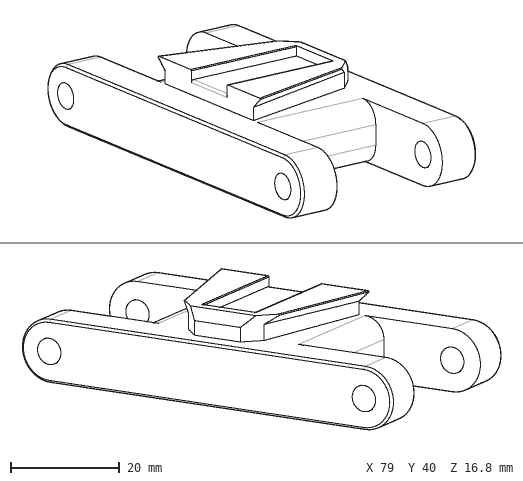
import cadquery as cq


length = 79.0
width = 40.0
arm_height = 12.0

arm_thickness = 8.0
arm_chamfer = 0.5
pivot_diameter = 5.0

hub_length = 37.9
hub_radius = 4.0

wedge_height = 4.8
wedge_reach = 16.0
nose_half = 4.9
nose_chamfer = 2.05
flange_front_half = 15.8
flange_shoulder = 10.75
neck_front_half = 13.7
neck_shoulder = 12.9
rim_chamfer = 0.2

pocket_width = 11.0
pocket_depth = 2.0
pocket_lip_radius = 0.5

arm_inner = width / 2 - arm_thickness
pivot_spacing = length - arm_height
arm_top = arm_height / 2
wedge_top = arm_top + wedge_height
wedge_front = -arm_inner


def make_arm(side):
    """Arm with rounded ends; side is +1 for the +Y arm and -1 for the -Y arm."""
    arm = (
        cq.Workplane("XZ", origin=(0, side * width / 2, 0))
        .slot2D(length, arm_height)
        .extrude(side * arm_thickness)
    )
    outer_face = ">Y" if side > 0 else "<Y"
    arm = arm.faces(outer_face).chamfer(arm_chamfer)
    pivots = (
        cq.Workplane("XZ", origin=(0, side * width / 2, 0))
        .pushPoints([(-pivot_spacing / 2, 0), (pivot_spacing / 2, 0)])
        .circle(pivot_diameter / 2)
        .extrude(side * arm_thickness)
    )
    return arm.cut(pivots)


def make_hub():
    """Block between the arms, rounded along its four long edges."""
    hub = cq.Workplane("XY").box(hub_length, 2 * arm_inner, arm_height)
    return hub.edges("|Y").fillet(hub_radius)


def shoulder_half(shoulder_y):
    """Half width of the wedge on its 45 degree corner cut at the given y."""
    return nose_half + wedge_reach - shoulder_y


def wedge_prism(front_half, shoulder_y):
    """Tapering six-sided prism, symmetric about X = 0, from mid-height up to the wedge top."""
    right_side = [
        (front_half, wedge_front),
        (shoulder_half(shoulder_y), shoulder_y),
        (nose_half, wedge_reach),
    ]
    left_side = [(-x, y) for x, y in reversed(right_side)]
    return cq.Workplane("XY").polyline(right_side + left_side).close().extrude(wedge_top)


def make_flange_side_cut():
    """Cutter for the +X side: a 45 degree undercut below the flange edge and a chamfer above it."""
    edge_run = flange_shoulder - wedge_front
    edge_inset = flange_front_half - shoulder_half(flange_shoulder)
    edge_plane = cq.Plane(
        origin=(flange_front_half, wedge_front, wedge_top - rim_chamfer),
        xDir=(edge_run, edge_inset, 0),
        normal=(edge_inset, -edge_run, 0),
    )
    return (
        cq.Workplane(edge_plane)
        .moveTo(0, 0)
        .lineTo(-rim_chamfer, rim_chamfer)
        .lineTo(wedge_top, rim_chamfer)
        .lineTo(wedge_top, -wedge_top)
        .lineTo(-wedge_top, -wedge_top)
        .close()
        .extrude(length / 2, both=True)
    )


def make_nose_cut():
    """Chamfer across the top of the narrow end."""
    return (
        cq.Workplane("YZ")
        .moveTo(wedge_reach, wedge_top)
        .lineTo(wedge_reach - nose_chamfer, wedge_top)
        .lineTo(wedge_reach, wedge_top - nose_chamfer)
        .close()
        .extrude(length / 2, both=True)
    )


def make_pocket():
    """Flat-floored pocket with a rounded front lip and chamfered side rims."""
    floor = wedge_top - pocket_depth
    recess = (
        cq.Workplane("YZ")
        .moveTo(wedge_front, wedge_top)
        .lineTo(wedge_front, floor - pocket_lip_radius)
        .radiusArc((wedge_front + pocket_lip_radius, floor), pocket_lip_radius)
        .lineTo(arm_inner, floor)
        .lineTo(arm_inner, wedge_top)
        .close()
        .extrude(pocket_width / 2, both=True)
    )
    rim_half = pocket_width / 2 + rim_chamfer
    rim = (
        cq.Workplane("XZ")
        .moveTo(-rim_half, wedge_top)
        .lineTo(rim_half, wedge_top)
        .lineTo(pocket_width / 2, wedge_top - rim_chamfer)
        .lineTo(-pocket_width / 2, wedge_top - rim_chamfer)
        .close()
        .extrude(arm_inner, both=True)
    )
    return recess.union(rim)


def make_wedge():
    """Upright neck carrying an undercut flange, with the nose chamfer and the pocket cut away."""
    side_cut = make_flange_side_cut()
    flange = wedge_prism(flange_front_half, flange_shoulder)
    flange = flange.cut(side_cut).cut(side_cut.mirror("YZ"))
    neck = wedge_prism(neck_front_half, neck_shoulder)
    neck = neck.intersect(wedge_prism(flange_front_half, flange_shoulder))
    return flange.union(neck).cut(make_nose_cut()).cut(make_pocket())


result = make_hub().union(make_arm(1)).union(make_arm(-1)).union(make_wedge())